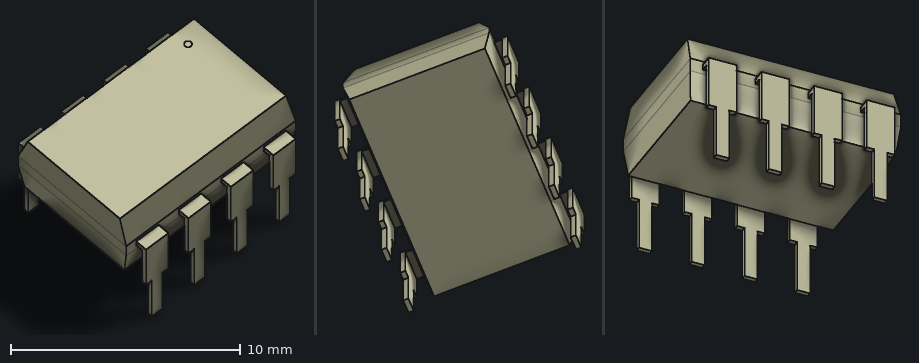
import cadquery as cq

overall_width = 8.13
overall_height = 6.61

housing_width = 6.88
housing_length = 10.16
housing_height = 3.43
band_height = 0.65
top_inset_x = 0.51
top_inset_y = 0.1
bottom_inset_x = 0.25
bottom_inset_y = 0.13

leads_per_side = 4
lead_pitch = 2.54
lead_thickness = 0.25
shoulder_width = 1.34
tip_width = 0.63
tip_length = 2.54
lead_drop = 1.57

marker_diameter = 0.35
marker_depth = 0.1
marker_x = -2.07

taper_height = (housing_height - band_height) / 2
housing_top = overall_height
band_top = housing_top - taper_height
band_bottom = band_top - band_height
lead_top = housing_top - lead_drop
lead_outer_x = overall_width / 2
lead_inner_x = housing_width / 2
first_lead_y = lead_pitch * (leads_per_side - 1) / 2
lead_rows = [first_lead_y - lead_pitch * row for row in range(leads_per_side)]
marker_y = first_lead_y


def make_tapered_half(start_z, rise, inset_x, inset_y):
    """Frustum from the waist outline at start_z to an inset outline; a negative rise goes down."""
    return (
        cq.Workplane("XY", origin=(0, 0, start_z))
        .rect(housing_width, housing_length)
        .workplane(offset=rise)
        .rect(housing_width - 2 * inset_x, housing_length - 2 * inset_y)
        .loft(ruled=True)
    )


def make_marker():
    """Disc whose top face is level with the top of the housing."""
    return (
        cq.Workplane("XY", origin=(marker_x, marker_y, housing_top - marker_depth))
        .circle(marker_diameter / 2)
        .extrude(marker_depth)
    )


def make_housing():
    """Band and two tapered halves as one solid, with a recess that fits the marker."""
    band = (
        cq.Workplane("XY", origin=(0, 0, band_bottom))
        .rect(housing_width, housing_length)
        .extrude(band_height)
    )
    upper_half = make_tapered_half(band_top, taper_height, top_inset_x, top_inset_y)
    lower_half = make_tapered_half(band_bottom, -taper_height, bottom_inset_x, bottom_inset_y)
    return band.union(upper_half).union(lower_half).cut(make_marker())


def make_lead(side, center_y):
    """One lead; side is -1 for the -X row and +1 for the +X row."""
    outer_x = side * lead_outer_x
    inside_x = side * (lead_outer_x - lead_thickness)
    housing_face_x = side * lead_inner_x

    shoulder = (
        cq.Workplane("XZ", origin=(0, center_y, 0))
        .polyline([
            (housing_face_x, lead_top),
            (outer_x, lead_top),
            (outer_x, tip_length),
            (inside_x, tip_length),
            (inside_x, lead_top - lead_thickness),
            (housing_face_x, lead_top - lead_thickness),
        ])
        .close()
        .extrude(shoulder_width / 2, both=True)
    )
    tip = (
        cq.Workplane("XY", origin=((outer_x + inside_x) / 2, center_y, 0))
        .rect(lead_thickness, tip_width)
        .extrude(tip_length)
    )
    return shoulder.union(tip)


housing = make_housing()
marker = make_marker()
leads = [make_lead(side, center_y) for side in (-1, 1) for center_y in lead_rows]

result = cq.Compound.makeCompound(
    [housing.solids().val(), marker.val()] + [lead.solids().val() for lead in leads]
)